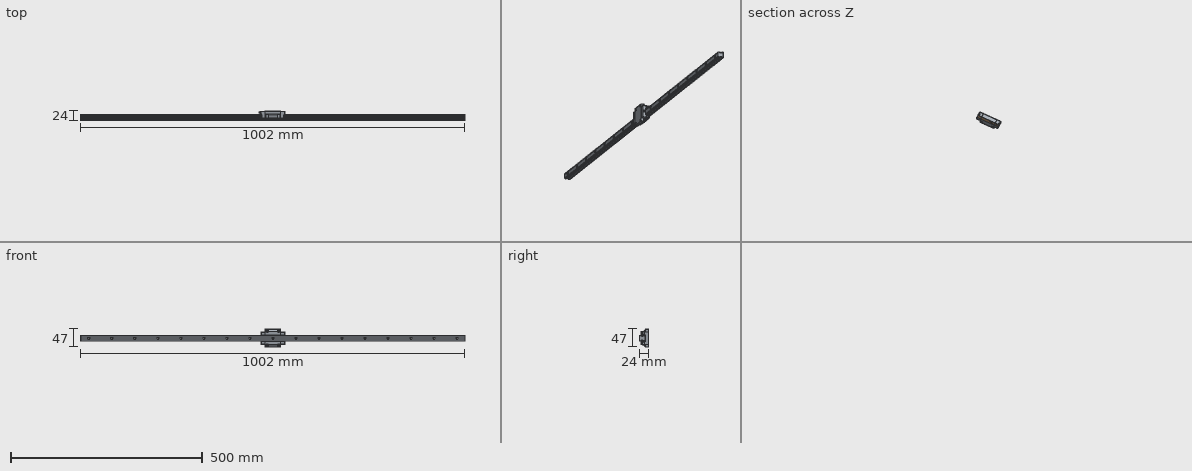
import cadquery as cq
import math

RAIL_LENGTH = 1002.0
CARRIAGE_WIDTH = 47.0
ASSEMBLY_HEIGHT = 24.0

RAIL_WIDTH = 15.0
RAIL_HEIGHT = 15.0
RAIL_FOOT_HEIGHT = 3.5
WAIST_BOTTOM = 6.0
WAIST_TOP = 8.2
WAIST_WIDTH = 11.0
HEAD_BOTTOM = 10.0
HEAD_SHOULDER = 12.5
HEAD_WIDTH = 13.8
RAIL_TOP_WIDTH = 11.6
RELIEF_WIDTH = 5.0
RELIEF_DEPTH = 0.4
RAIL_HOLE_PITCH = 60.0
RAIL_HOLE_COUNT = 17
RAIL_HOLE_DIA = 4.5
COUNTERBORE_DIA = 7.5
COUNTERBORE_DEPTH = 5.3

BLOCK_LENGTH = 40.2
CARRIAGE_BOTTOM = 4.8
BODY_WIDTH = 34.0
FLANGE_UNDERSIDE = 16.0
FLANK_RADIUS = 8.75
TUNNEL_WIDTH = 16.0
TUNNEL_TOP = 16.0
MOUNT_PITCH_X = 30.0
MOUNT_PITCH_Z = 38.0
MOUNT_HOLE_DIA = 4.3
SPOTFACE_DIA = 7.5

CAP_LENGTH = 11.0
CAP_WIDTH = 32.0
CAP_TOP = 23.5
SCREW_SLOT_WIDTH = 4.8
SCREW_SLOT_DEPTH = 3.0
SCREW_SLOT_Y = 11.0
SCREW_SLOT_CENTRE_Z = 12.0

NIPPLE_Y = 20.0
NIPPLE_BASE_DIA = 4.8
NIPPLE_BASE_LENGTH = 3.0
NIPPLE_TIP_DIA = 3.0
NIPPLE_TIP_LENGTH = 2.8


def box(x_range, y_range, z_range):
    """A box given by its limits along X, Y and Z."""
    corner = cq.Vector(x_range[0], y_range[0], z_range[0])
    sizes = [limits[1] - limits[0] for limits in (x_range, y_range, z_range)]
    return cq.Workplane(cq.Solid.makeBox(*sizes, pnt=corner))


def vertical_cylinders(points, diameter, y_bottom, y_top):
    """Cylinders along Y, centred on the given (x, z) points."""
    plane = cq.Workplane("XZ", origin=(0, y_bottom, 0))
    return plane.pushPoints(points).circle(diameter / 2).extrude(y_bottom - y_top)


def mirrored_outline(half_outline):
    """A (y, z) outline completed by its mirror image across z = 0."""
    return half_outline + [(y, -z) for y, z in reversed(half_outline)]


def make_rail():
    half_outline = [
        (RELIEF_DEPTH, RELIEF_WIDTH / 2),
        (0, RELIEF_WIDTH / 2),
        (0, RAIL_WIDTH / 2),
        (RAIL_FOOT_HEIGHT, RAIL_WIDTH / 2),
        (WAIST_BOTTOM, WAIST_WIDTH / 2),
        (WAIST_TOP, WAIST_WIDTH / 2),
        (HEAD_BOTTOM, HEAD_WIDTH / 2),
        (HEAD_SHOULDER, HEAD_WIDTH / 2),
        (RAIL_HEIGHT, RAIL_TOP_WIDTH / 2),
    ]
    rail = (
        cq.Workplane("YZ")
        .polyline(mirrored_outline(half_outline))
        .close()
        .extrude(RAIL_LENGTH / 2, both=True)
    )
    first_hole = -RAIL_HOLE_PITCH * (RAIL_HOLE_COUNT - 1) / 2
    holes = [(first_hole + RAIL_HOLE_PITCH * i, 0) for i in range(RAIL_HOLE_COUNT)]
    rail = rail.cut(vertical_cylinders(holes, RAIL_HOLE_DIA, 0, RAIL_HEIGHT))
    bore_floor = RAIL_HEIGHT - COUNTERBORE_DEPTH
    return rail.cut(vertical_cylinders(holes, COUNTERBORE_DIA, bore_floor, RAIL_HEIGHT))


def make_tunnel(x_range):
    """The clearance for the rail, open at the bottom of the carriage."""
    half = TUNNEL_WIDTH / 2
    return box(x_range, (0, TUNNEL_TOP), (-half, half))


def make_block():
    side = BODY_WIDTH / 2
    edge = CARRIAGE_WIDTH / 2
    arc_z = side + FLANK_RADIUS
    edge_angle = math.asin((arc_z - edge) / FLANK_RADIUS)
    arc_y = FLANGE_UNDERSIDE - FLANK_RADIUS * math.cos(edge_angle)
    mid_angle = (edge_angle + math.pi / 2) / 2
    mid_y = arc_y + FLANK_RADIUS * math.cos(mid_angle)
    mid_z = arc_z - FLANK_RADIUS * math.sin(mid_angle)
    block = (
        cq.Workplane("YZ")
        .moveTo(CARRIAGE_BOTTOM, -side)
        .lineTo(CARRIAGE_BOTTOM, side)
        .lineTo(arc_y, side)
        .threePointArc((mid_y, mid_z), (FLANGE_UNDERSIDE, edge))
        .lineTo(ASSEMBLY_HEIGHT, edge)
        .lineTo(ASSEMBLY_HEIGHT, -edge)
        .lineTo(FLANGE_UNDERSIDE, -edge)
        .threePointArc((mid_y, -mid_z), (arc_y, -side))
        .close()
        .extrude(BLOCK_LENGTH / 2, both=True)
    )
    block = block.cut(make_tunnel((-BLOCK_LENGTH / 2, BLOCK_LENGTH / 2)))
    mounts = [
        (x * MOUNT_PITCH_X / 2, z * MOUNT_PITCH_Z / 2) for x in (-1, 1) for z in (-1, 1)
    ]
    block = block.cut(vertical_cylinders(mounts, SPOTFACE_DIA, 0, FLANGE_UNDERSIDE))
    return block.cut(vertical_cylinders(mounts, MOUNT_HOLE_DIA, 0, ASSEMBLY_HEIGHT))


def make_end_cap(end):
    """The cap on the -X end (end = -1) or the +X end (end = 1)."""
    inner = BLOCK_LENGTH / 2
    outer = inner + CAP_LENGTH
    half = CAP_WIDTH / 2
    cap = box((inner, outer), (CARRIAGE_BOTTOM, CAP_TOP), (-half, half))
    cap = cap.cut(make_tunnel((inner, outer)))
    slot_x = (outer - SCREW_SLOT_DEPTH, outer)
    slot_y = (SCREW_SLOT_Y - SCREW_SLOT_WIDTH / 2, SCREW_SLOT_Y + SCREW_SLOT_WIDTH / 2)
    slots = box(slot_x, slot_y, (SCREW_SLOT_CENTRE_Z, half))
    slots = slots.union(
        cq.Workplane("YZ", origin=(slot_x[0], 0, 0))
        .center(SCREW_SLOT_Y, SCREW_SLOT_CENTRE_Z)
        .circle(SCREW_SLOT_WIDTH / 2)
        .extrude(SCREW_SLOT_DEPTH)
    )
    cap = cap.cut(slots).cut(slots.mirror("XY"))
    return cap if end > 0 else cap.mirror("YZ")


def make_grease_nipple():
    cap_face = -(BLOCK_LENGTH / 2 + CAP_LENGTH)
    return (
        cq.Workplane("YZ", origin=(cap_face, NIPPLE_Y, 0))
        .circle(NIPPLE_BASE_DIA / 2)
        .extrude(-NIPPLE_BASE_LENGTH)
        .faces("<X")
        .workplane()
        .circle(NIPPLE_TIP_DIA / 2)
        .extrude(NIPPLE_TIP_LENGTH)
    )


rail = make_rail()
block = make_block()
end_caps = [make_end_cap(end) for end in (-1, 1)]
grease_nipple = make_grease_nipple()

result = cq.Compound.makeCompound(
    [rail.val(), block.val(), *[cap.val() for cap in end_caps], grease_nipple.val()]
)